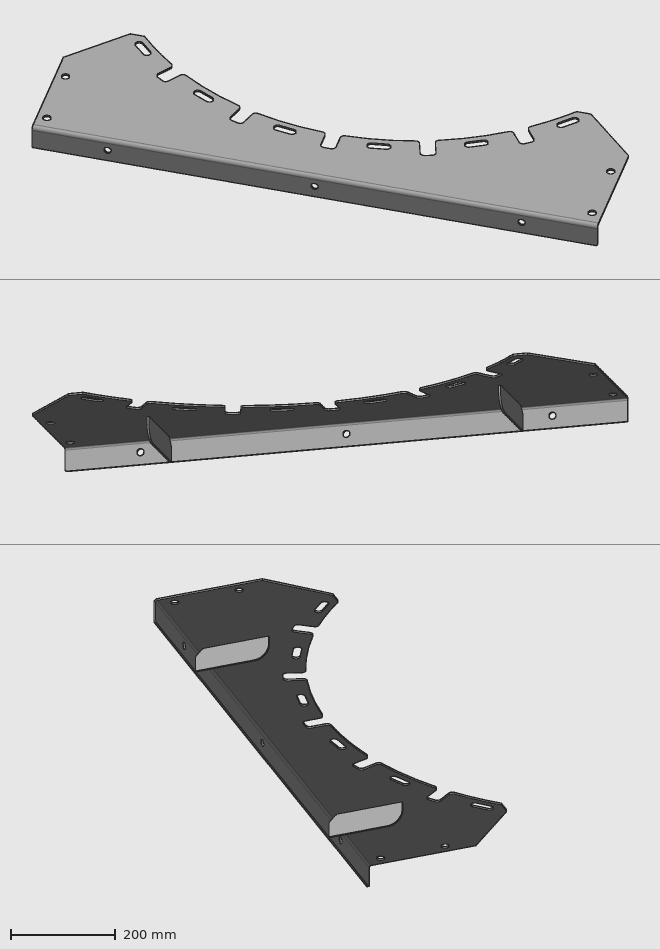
import cadquery as cq
import math

sheet = 4.0
length = 1120.0
depth = 326.0
flange_height = 50.0
bend_outer_radius = 8.0
bend_inner_radius = bend_outer_radius - sheet
flange_corner_radius = 3.0

arc_radius = 575.0
arc_center_y = 710.0
corner_cut = 103.8
feature_pitch = 18.0

notch_width = 30.0
notch_floor_radius = arc_radius + 45.0
notch_corner_radius = 8.0
notch_angles = [step * feature_pitch for step in (-2, -1, 0, 1, 2)]

slot_center_radius = arc_radius + 20.0
slot_length = 46.0
slot_width = 16.0
slot_angles = [step * feature_pitch for step in (-2.5, -1.5, -0.5, 0.5, 1.5, 2.5)]

end_hole_diameter = 16.0
end_hole_x = length / 2 - 20.0
end_hole_rows = (35.0, 167.0)

flange_hole_diameter = 14.0
flange_hole_pitch = 410.0
flange_hole_z = -flange_height / 2

gusset_thickness = 4.0
gusset_depth = 150.0
gusset_corner_radius = 30.0
gusset_weld_relief = 15.0
gusset_x = 350.0


def polar(radius, angle):
    """Point at a radius from the arc centre, with the angle in degrees from the -Y direction."""
    turn = math.radians(angle)
    return radius * math.sin(turn), arc_center_y - radius * math.cos(turn)


def make_rounded_block(front_y, top_z, bend_radius):
    """Full-length block with its front top edge rounded."""
    return (
        cq.Workplane("XY")
        .box(length, depth, flange_height, centered=(True, False, False))
        .translate((0, front_y, top_z - flange_height))
        .edges("|X and <Y and >Z")
        .fillet(bend_radius)
    )


def make_bent_sheet():
    """L-shaped sheet with a rounded bend and rounded lower corners on the flange."""
    outside = make_rounded_block(0, 0, bend_outer_radius)
    inside = make_rounded_block(sheet, -sheet, bend_inner_radius)
    return outside.cut(inside).edges("|Y and <Z").fillet(flange_corner_radius)


def make_corner_cuts():
    """45-degree cuts across both rear corners."""
    end = length / 2
    cut = (
        cq.Workplane("XY")
        .polyline([(end, depth), (end - corner_cut, depth), (end, depth - corner_cut)])
        .close()
        .extrude(-sheet)
    )
    return cut.union(cut.mirror("YZ"))


def make_notched_arc():
    """Cut-out disc with radial notches whose inner and outer corners are rounded."""
    cutter = cq.Workplane("XY").center(0, arc_center_y).circle(arc_radius).extrude(-sheet)
    notch_span = notch_floor_radius - arc_radius / 2
    for angle in notch_angles:
        notch = (
            cq.Workplane("XY")
            .rect(notch_width, notch_span)
            .extrude(-sheet)
            .rotate((0, 0, 0), (0, 0, 1), angle)
            .translate((*polar(notch_floor_radius - notch_span / 2, angle), 0))
        )
        cutter = cutter.union(notch)
    notch_edges = cq.selectors.BoxSelector((-length, 0, -2 * sheet), (length, arc_center_y, sheet))
    return cutter.edges(notch_edges).edges("|Z").fillet(notch_corner_radius)


def make_slots():
    """Round-ended slots tangent to the arc."""
    slots = cq.Workplane("XY")
    for angle in slot_angles:
        slot = (
            cq.Workplane("XY")
            .slot2D(slot_length, slot_width)
            .extrude(-sheet)
            .rotate((0, 0, 0), (0, 0, 1), angle)
            .translate((*polar(slot_center_radius, angle), 0))
        )
        slots = slots.add(slot)
    return slots.combine()


def make_end_holes():
    """Two rows of vertical holes at each end."""
    centers = [(side * end_hole_x, y) for side in (-1, 1) for y in end_hole_rows]
    return cq.Workplane("XY").pushPoints(centers).circle(end_hole_diameter / 2).extrude(-sheet)


def make_flange_holes():
    """Evenly spaced horizontal holes at mid height of the flange."""
    centers = [(step * flange_hole_pitch, flange_hole_z) for step in (-1, 0, 1)]
    return cq.Workplane("XZ").pushPoints(centers).circle(flange_hole_diameter / 2).extrude(-sheet)


def make_panel():
    """Bent sheet with all of its cut-outs."""
    return (
        make_bent_sheet()
        .cut(make_corner_cuts())
        .cut(make_notched_arc())
        .cut(make_slots())
        .cut(make_end_holes())
        .cut(make_flange_holes())
    )


def make_gusset(x):
    """Plate against the flange and the underside of the panel, relieved at the bend."""
    return (
        cq.Workplane("YZ")
        .rect(gusset_depth, flange_height - sheet, centered=False)
        .extrude(gusset_thickness / 2, both=True)
        .edges("|X and >Y and <Z")
        .fillet(gusset_corner_radius)
        .edges("|X and <Y and >Z")
        .chamfer(gusset_weld_relief)
        .translate((x, sheet, -flange_height))
    )


panel = make_panel()
gussets = [make_gusset(side * gusset_x) for side in (-1, 1)]
result = cq.Compound.makeCompound([panel.val(), *[gusset.val() for gusset in gussets]])